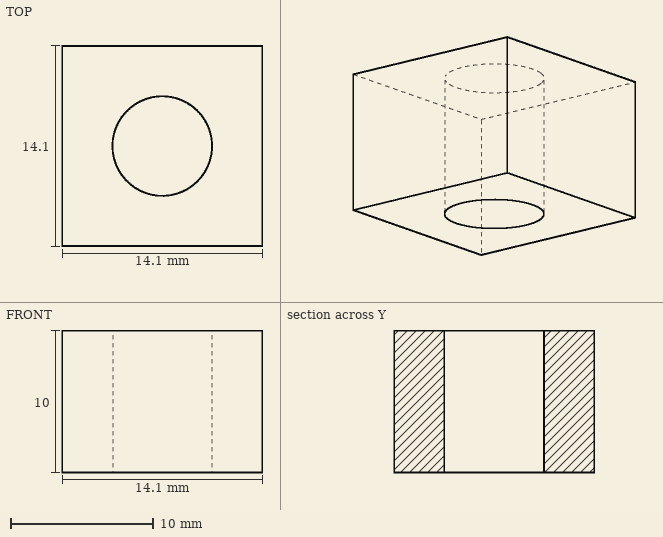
import cadquery as cq

side = 14.1
height = 10.0
bore_diameter = 7.0


def square_block():
    """Square block centred on the Z axis, standing on the XY plane."""
    return cq.Workplane("XY").box(side, side, height, centered=(True, True, False))


def bore_through(block):
    """Cut the central bore through the full height."""
    return block.faces(">Z").workplane().hole(bore_diameter)


result = bore_through(square_block())